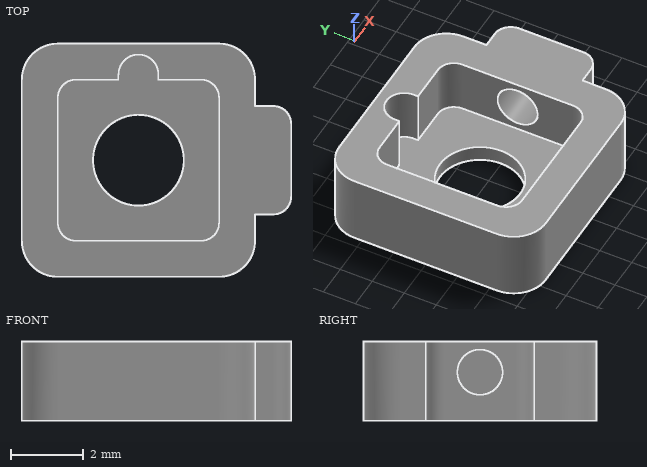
import cadquery as cq

body_side = 6.45
body_height = 2.2
body_corner_radius = 1.0

overall_length = 7.45
tab_width = 3.0
tab_corner_radius = 0.5

floor_thickness = 0.5
pocket_side = 4.455
pocket_corner_radius = 0.5
notch_width = 1.1
notch_reach = 2.92

bore_diameter = 2.5
side_hole_diameter = 1.25

pocket_depth = body_height - floor_thickness
side_hole_height = floor_thickness + pocket_depth / 2
tab_end = overall_length - body_side / 2


def make_body():
    return (
        cq.Workplane("XY")
        .rect(body_side, body_side)
        .extrude(body_height)
        .edges("|Z")
        .fillet(body_corner_radius)
    )


def make_tab():
    """Tab starting at the body centre, rounded at its outer corners."""
    return (
        cq.Workplane("XY")
        .box(tab_end, tab_width, body_height, centered=(False, True, False))
        .edges("|Z and >X")
        .fillet(tab_corner_radius)
    )


def make_pocket():
    floor = cq.Workplane("XY").workplane(offset=floor_thickness)
    square = (
        floor.rect(pocket_side, pocket_side)
        .extrude(pocket_depth)
        .edges("|Z")
        .fillet(pocket_corner_radius)
    )
    notch_radius = notch_width / 2
    notch_center_y = notch_reach - notch_radius
    notch_end = floor.center(0, notch_center_y).circle(notch_radius).extrude(pocket_depth)
    notch_throat = (
        floor.center(0, notch_center_y / 2)
        .rect(notch_width, notch_center_y)
        .extrude(pocket_depth)
    )
    return square.union(notch_end).union(notch_throat)


def make_bore():
    return cq.Workplane("XY").circle(bore_diameter / 2).extrude(body_height)


def make_side_hole():
    """Hole along X from inside the pocket out through the end of the tab."""
    return (
        cq.Workplane("YZ")
        .center(0, side_hole_height)
        .circle(side_hole_diameter / 2)
        .extrude(tab_end)
    )


result = (
    make_body()
    .union(make_tab())
    .cut(make_pocket())
    .cut(make_bore())
    .cut(make_side_hole())
)